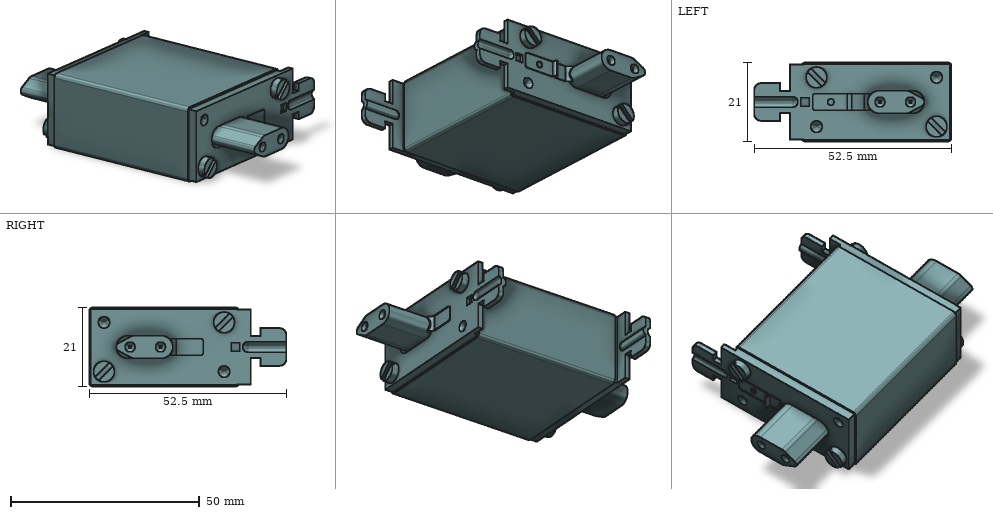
import cadquery as cq
import math


BODY_X = 44.4
BODY_Y = 39.9
BODY_Z = 21.0
BODY_EDGE_RADIUS = 1.0

PLATE_THICK = 2.6
PLATE_Y = 38.9
PLATE_Z = 20.0
SHEET_THICK = 1.5
SHEET_TOP = 23.05
LUG_NECK_TOP = 25.6
LUG_NECK_Z = 5.9
LUG_TOP = 32.55
LUG_Z = 10.1
LUG_CORNER_RADIUS = 1.95

BEAD_WIDTH = 2.7
BEAD_DEPTH = 0.85
BEAD_END_Y = 22.3

SQUARE_SIDE = 2.25
SQUARE_Y = 19.0
SQUARE_DEPTH = 0.9

SCREW_Y = 16.0
SCREW_Z = 6.55
SCREW_DIA = 5.5
SCREW_HEIGHT = 2.1
SCREW_SLOT_WIDTH = 1.3
SCREW_SLOT_DEPTH = 0.9
SCREW_SLOT_ANGLE = 45
HOLE_DIA = 3.0
CONE_ANGLE = 90

OVERALL_X = 77.85
BLADE_TOP = 2.3
BLADE_BOTTOM = -12.7
BLADE_Z = 6.0
BLADE_SHOULDER_Y = -8.4
BLADE_TAPER_ANGLE = 28
BLADE_SHOULDER_RADIUS = 2.4
BLADE_HOLE_YS = (-0.9, -9.0)
BLADE_HOLE_DIA = 2.65
BLADE_HOLE_FLAT_DIA = 0.7

STRIP_THICK = 0.2
STRIP_Z = 4.4
STRIP_TOP = 17.0
SHORT_STRIP_TOP = 10.4
STRIP_BOTTOM = 3.3
STRIP_CORNER_RADIUS = 0.8
LIP_END_Y = 1.9
LIP_RISE = 1.4
BUMP_Y = 7.2
BUMP_WIDTH = 1.25
BUMP_HEIGHT = 1.4
STRIP_HOLE_DIA = 1.7
STRIP_HOLE_Y = 12.15

INNER_X = -BODY_X / 2
OUTER_X = INNER_X - PLATE_THICK
SHEET_BACK_X = OUTER_X + SHEET_THICK
TIP_X = -OVERALL_X / 2


def at_x(x):
    """Workplane facing +X, with local axes Y and Z."""
    return cq.Workplane("YZ", origin=(x, 0, 0))


def sheet_rect(y_low, y_high, width):
    """Piece of the outer sheet, centred on Z = 0."""
    piece = at_x(OUTER_X).center((y_low + y_high) / 2, 0)
    return piece.rect(y_high - y_low, width).extrude(SHEET_THICK)


def conical_hole(x, y, z, diameter, flat_diameter=0):
    """Cone tapering toward +X from its mouth at x, with an optional flat bottom."""
    radius = diameter / 2
    flat_radius = flat_diameter / 2
    depth = (radius - flat_radius) / math.tan(math.radians(CONE_ANGLE / 2))
    mouth = cq.Vector(x, y, z)
    return cq.Workplane(cq.Solid.makeCone(radius, flat_radius, depth, mouth, cq.Vector(1, 0, 0)))


def bead_rod(surface_x):
    """Ball-ended rod that dips below a plate surface by the bead depth."""
    radius = ((BEAD_WIDTH / 2) ** 2 + BEAD_DEPTH ** 2) / (2 * BEAD_DEPTH)
    centre_x = surface_x + BEAD_DEPTH - radius
    rod = cq.Workplane("XZ", origin=(centre_x, BEAD_END_Y, 0))
    rod = rod.circle(radius).extrude(BEAD_END_Y - LUG_TOP)
    ball = cq.Workplane(origin=(centre_x, BEAD_END_Y, 0)).sphere(radius)
    return rod.union(ball)


def make_plate():
    plate = at_x(OUTER_X).rect(PLATE_Y, PLATE_Z).extrude(PLATE_THICK)
    plate = plate.union(sheet_rect(-PLATE_Y / 2, SHEET_TOP, PLATE_Z))
    plate = plate.union(sheet_rect(SHEET_TOP, LUG_NECK_TOP, LUG_NECK_Z))
    lug = sheet_rect(LUG_NECK_TOP, LUG_TOP, LUG_Z)
    lug = lug.edges("|X and >Y").fillet(LUG_CORNER_RADIUS)
    plate = plate.union(lug)
    plate = plate.union(bead_rod(SHEET_BACK_X)).cut(bead_rod(OUTER_X))

    square = at_x(OUTER_X).center(SQUARE_Y, 0).rect(SQUARE_SIDE, SQUARE_SIDE).extrude(SQUARE_DEPTH)
    blade_opening = (
        at_x(OUTER_X)
        .center((BLADE_TOP + BLADE_BOTTOM) / 2, 0)
        .slot2D(BLADE_TOP - BLADE_BOTTOM, BLADE_Z)
        .extrude(PLATE_THICK)
    )
    return plate.cut(square).cut(blade_opening)


def make_blade():
    half = BLADE_Z / 2
    taper = math.radians(BLADE_TAPER_ANGLE)
    apex_y = BLADE_SHOULDER_Y - half / math.tan(taper)
    edge_radius = (BLADE_BOTTOM - apex_y) / (1 / math.sin(taper) - 1)
    blade = (
        at_x(TIP_X)
        .moveTo(BLADE_SHOULDER_Y, -half)
        .lineTo(BLADE_TOP - half, -half)
        .threePointArc((BLADE_TOP, 0), (BLADE_TOP - half, half))
        .lineTo(BLADE_SHOULDER_Y, half)
        .lineTo(apex_y, 0)
        .close()
        .extrude(INNER_X - TIP_X)
    )
    blade = blade.edges("|X and <Y").fillet(edge_radius)
    for side in (-half, half):
        shoulder = cq.selectors.NearestToPointSelector(((TIP_X + INNER_X) / 2, BLADE_SHOULDER_Y, side))
        blade = blade.edges("|X").edges(shoulder).fillet(BLADE_SHOULDER_RADIUS)
    for y in BLADE_HOLE_YS:
        blade = blade.cut(conical_hole(TIP_X, y, 0, BLADE_HOLE_DIA, BLADE_HOLE_FLAT_DIA))
    return blade


def make_screw(side):
    head_x = OUTER_X - SCREW_HEIGHT
    y = side * SCREW_Y
    z = side * SCREW_Z
    head = at_x(head_x).center(y, z).circle(SCREW_DIA / 2).extrude(SCREW_HEIGHT)
    slot = (
        at_x(head_x)
        .center(y, z)
        .transformed(rotate=(0, 0, SCREW_SLOT_ANGLE))
        .rect(2 * SCREW_DIA, SCREW_SLOT_WIDTH)
        .extrude(SCREW_SLOT_DEPTH)
    )
    return head.cut(slot)


def make_strip(top_y):
    """Flat spring strip whose lower lip rises against the blade."""
    face_x = OUTER_X - STRIP_THICK
    flat = at_x(face_x).center((top_y + STRIP_BOTTOM) / 2, 0)
    flat = flat.rect(top_y - STRIP_BOTTOM, STRIP_Z).extrude(STRIP_THICK)
    flat = flat.edges("|X and >Y").fillet(STRIP_CORNER_RADIUS)
    lip = (
        cq.Workplane("XY", origin=(0, 0, -STRIP_Z / 2))
        .moveTo(OUTER_X, STRIP_BOTTOM)
        .lineTo(face_x, STRIP_BOTTOM)
        .lineTo(OUTER_X - LIP_RISE, LIP_END_Y)
        .lineTo(OUTER_X - LIP_RISE + STRIP_THICK, LIP_END_Y - STRIP_THICK)
        .close()
        .extrude(STRIP_Z)
    )
    return flat.union(lip)


def bump_bar(width, height):
    """Elliptical bar across the strip, its centre line on the plate face."""
    bar = cq.Workplane("XY", origin=(OUTER_X, BUMP_Y, -STRIP_Z / 2))
    return bar.ellipse(height, width / 2).extrude(STRIP_Z)


def make_bumped_strip():
    """Full-length strip with a hollow bump and a round hole."""
    strip = make_strip(STRIP_TOP).union(bump_bar(BUMP_WIDTH, BUMP_HEIGHT))
    strip = strip.cut(bump_bar(BUMP_WIDTH - 2 * STRIP_THICK, BUMP_HEIGHT - STRIP_THICK))
    hole = at_x(OUTER_X).center(STRIP_HOLE_Y, 0).circle(STRIP_HOLE_DIA / 2).extrude(-STRIP_THICK)
    return strip.cut(hole)


def make_end():
    end = make_plate().union(make_blade())
    for side in (-1, 1):
        end = end.union(make_screw(side))
    return end


body = cq.Workplane("XY").box(BODY_X, BODY_Y, BODY_Z).edges("|X").fillet(BODY_EDGE_RADIUS)
end = make_end()
result = body.union(end).union(end.mirror("YZ"))

for side in (-1, 1):
    corner_hole = conical_hole(OUTER_X, side * SCREW_Y, -side * SCREW_Z, HOLE_DIA)
    result = result.cut(corner_hole).cut(corner_hole.mirror("YZ"))

result = result.union(make_bumped_strip())
result = result.union(make_strip(SHORT_STRIP_TOP).mirror("YZ"))